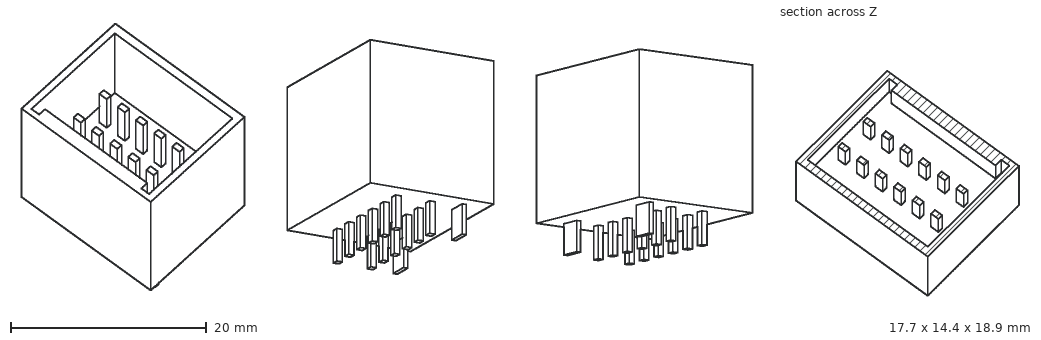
import cadquery as cq

total_height = 18.9
housing_width = 17.7
housing_depth = 14.4
tail_length = 3.5
housing_height = total_height - tail_length

side_wall = 0.8
back_wall = 0.96
front_wall = 0.65
cavity_depth = 10.35
cavity_width = housing_width - 2 * side_wall
cavity_length = housing_depth - back_wall - front_wall
floor_thickness = housing_height - cavity_depth

ledge_width = 14.0
ledge_depth = 0.9

pin_columns = 6
pin_pitch = 2.5
row_spacing = 3.97
rows_center_y = 0.74
pin_thickness = 0.65
contact_width = 1.0
contact_length = 4.97
tail_width = 0.8

tab_width = 2.25
tab_thickness = 0.5
tab_length = 3.25
tab_center_y = -4.57

front_face_y = -housing_depth / 2
cavity_front_y = front_face_y + front_wall
last_column_x = pin_pitch * (pin_columns - 1) / 2


def upright_block(width, depth, height, center_x, center_y, base_z):
    """Rectangular block standing on base_z."""
    block = cq.Workplane("XY").box(width, depth, height, centered=(True, True, False))
    return block.translate((center_x, center_y, base_z))


def make_housing():
    body = upright_block(housing_width, housing_depth, housing_height, 0, 0, 0)
    cavity_center_y = cavity_front_y + cavity_length / 2
    cavity = upright_block(cavity_width, cavity_length, cavity_depth, 0, cavity_center_y, floor_thickness)
    ledge_center_y = cavity_front_y + ledge_depth / 2
    ledge = upright_block(ledge_width, ledge_depth, cavity_depth, 0, ledge_center_y, floor_thickness)
    return body.cut(cavity).union(ledge)


def make_pin(x, y):
    """Contact rising from the cavity floor and a narrower tail that runs down through the floor."""
    contact = upright_block(contact_width, pin_thickness, contact_length, x, y, floor_thickness)
    tail = upright_block(tail_width, pin_thickness, tail_length + floor_thickness, x, y, -tail_length)
    return contact.union(tail)


def make_tab(x):
    return upright_block(tab_width, tab_thickness, tab_length, x, tab_center_y, -tab_length)


result = make_housing()

for row_y in (rows_center_y - row_spacing / 2, rows_center_y + row_spacing / 2):
    for column in range(pin_columns):
        result = result.union(make_pin(column * pin_pitch - last_column_x, row_y))

for tab_x in (-last_column_x, last_column_x):
    result = result.union(make_tab(tab_x))